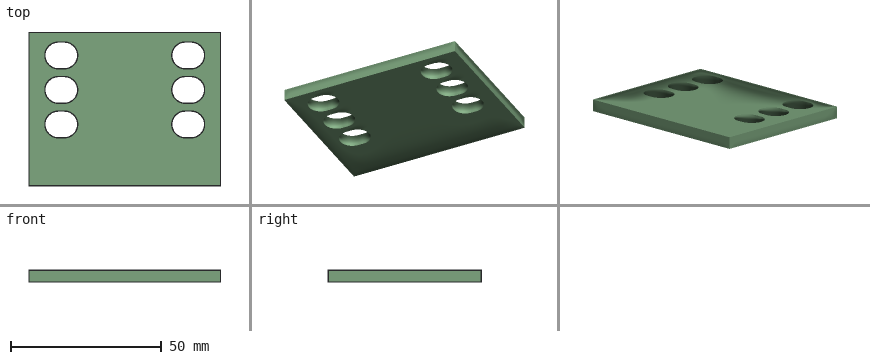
import cadquery as cq

plate_length = 63.5
plate_width = 50.8
plate_thickness = 4.0

slot_length = 10.8
slot_width = 8.75
column_spacing = 42.05
row_pitch = 11.4
top_row_inset = 7.6
row_count = 3

plate = cq.Workplane("XY").box(plate_length, plate_width, plate_thickness)

top_row_y = plate_width / 2 - top_row_inset
slot_centers = [
    (side * column_spacing / 2, top_row_y - row * row_pitch)
    for side in (-1, 1)
    for row in range(row_count)
]

result = (
    plate.faces(">Z")
    .workplane()
    .pushPoints(slot_centers)
    .slot2D(slot_length, slot_width)
    .cutThruAll()
)